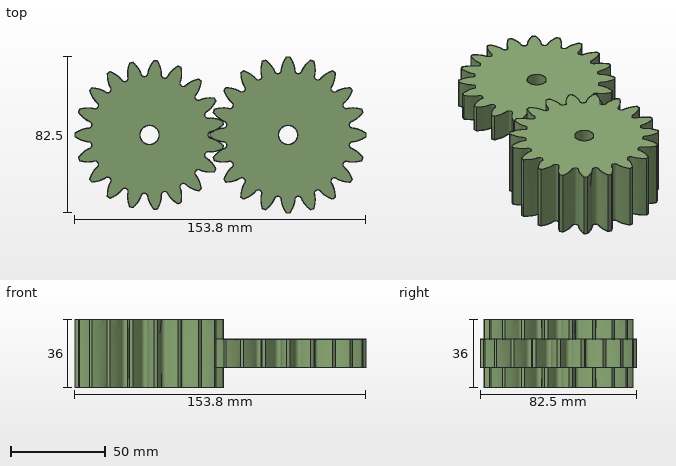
import cadquery as cq
import math

OVERALL_LENGTH = 153.8
PINION_TEETH = 19
WHEEL_TEETH = 20
PRESSURE_ANGLE = math.radians(25)
DEDENDUM_RATIO = 1.25
PINION_HEIGHT = 36.0
WHEEL_HEIGHT = 15.0
BORE_DIAMETER = 10.0
FLANK_POINTS = 6

MODULE = OVERALL_LENGTH / (PINION_TEETH + WHEEL_TEETH + 2)
CENTER_DISTANCE = MODULE * (PINION_TEETH + WHEEL_TEETH) / 2


def polar(radius, angle):
    return (radius * math.cos(angle), radius * math.sin(angle))


def involute(pressure_angle):
    """Polar angle of an involute at the given pressure angle."""
    return math.tan(pressure_angle) - pressure_angle


def make_gear(teeth, height):
    """Bored involute gear centred on the origin, with one tooth pointing along -X."""
    pitch_radius = MODULE * teeth / 2
    base_radius = pitch_radius * math.cos(PRESSURE_ANGLE)
    tip_radius = pitch_radius + MODULE
    root_radius = pitch_radius - DEDENDUM_RATIO * MODULE
    tooth_pitch = 2 * math.pi / teeth
    base_half_angle = tooth_pitch / 4 + involute(PRESSURE_ANGLE)

    def half_angle(radius):
        return base_half_angle - involute(math.acos(base_radius / radius))

    flank_step = (tip_radius - base_radius) / (FLANK_POINTS - 1)
    flank_radii = [base_radius + i * flank_step for i in range(FLANK_POINTS - 1)] + [tip_radius]

    outline = cq.Workplane("XY").moveTo(*polar(base_radius, math.pi - base_half_angle))
    for tooth in range(teeth):
        middle = math.pi + tooth * tooth_pitch
        rising = [polar(r, middle - half_angle(r)) for r in flank_radii]
        falling = [polar(r, middle + half_angle(r)) for r in reversed(flank_radii)]
        root_middle = polar(root_radius, middle + tooth_pitch / 2)
        next_start = polar(base_radius, middle + tooth_pitch - base_half_angle)
        outline = (
            outline.spline(rising[1:], includeCurrent=True)
            .threePointArc(polar(tip_radius, middle), falling[0])
            .spline(falling[1:], includeCurrent=True)
            .threePointArc(root_middle, next_start)
        )
    blank = outline.close().extrude(height)

    bore = cq.Workplane("XY").circle(BORE_DIAMETER / 2).extrude(height)
    solid = blank.cut(bore).solids().val()
    return cq.Workplane(solid.translate(cq.Vector(0, 0, -height / 2)))


pinion = make_gear(PINION_TEETH, PINION_HEIGHT)
wheel = make_gear(WHEEL_TEETH, WHEEL_HEIGHT).translate((CENTER_DISTANCE, 0, 0))

result = cq.Compound.makeCompound([pinion.val(), wheel.val()])